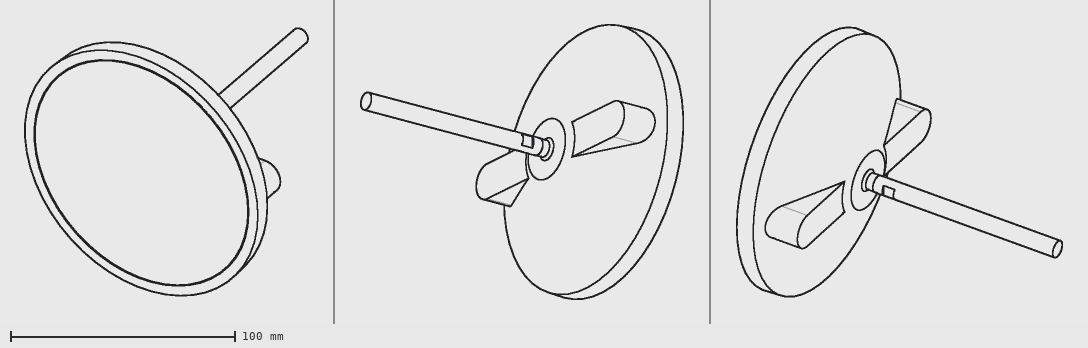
import cadquery as cq

total_length = 130.0

face_radius = 124.0 / 2
rim_back_radius = 61.6
rim_depth = 8.5
cone_top_radius = 14.0
dish_depth = 30.0

groove_outer_diameter = 114.0
groove_inner_diameter = 113.5
groove_depth = 0.6

bar_length = 111.5
bar_width = 16.8
bar_back = 28.1

rod_diameter = 8.0
neck_diameter = 7.8
flare_diameter = 10.4
flare_height = 1.3
neck_end = 35.1

flats_start = 40.2
flats_length = 5.8
width_across_flats = 6.0


def plane_at(y):
    """XZ sketch plane at the given y, extruding toward +Y."""
    return cq.Workplane(cq.Plane(origin=(0, y, 0), xDir=(1, 0, 0), normal=(0, 1, 0)))


def make_turned_body():
    """Dish and stem revolved about Y as one profile."""
    rod_radius = rod_diameter / 2
    neck_radius = neck_diameter / 2
    flare_radius = flare_diameter / 2
    flare_top = dish_depth + flare_height
    return (
        cq.Workplane("XY")
        .lineTo(face_radius, 0)
        .lineTo(rim_back_radius, rim_depth)
        .lineTo(cone_top_radius, dish_depth)
        .lineTo(flare_radius, dish_depth)
        .lineTo(neck_radius, flare_top)
        .lineTo(neck_radius, neck_end)
        .lineTo(rod_radius, neck_end)
        .lineTo(rod_radius, total_length)
        .lineTo(0, total_length)
        .close()
        .revolve(360, (0, 0, 0), (0, 1, 0))
    )


def make_bar():
    """Round-ended bar, starting inside the rim so that it merges with the dish."""
    bar_start = rim_depth / 2
    return plane_at(bar_start).slot2D(bar_length, bar_width).extrude(bar_back - bar_start)


def make_face_groove():
    return (
        plane_at(0)
        .circle(groove_outer_diameter / 2)
        .circle(groove_inner_diameter / 2)
        .extrude(groove_depth)
    )


def make_flat_cutter(side):
    """Block outside one wrench flat; side is -1 for -X and +1 for +X."""
    center_x = side * (width_across_flats + rod_diameter) / 2
    return (
        plane_at(flats_start)
        .center(center_x, 0)
        .rect(rod_diameter, 2 * rod_diameter)
        .extrude(flats_length)
    )


result = make_turned_body().union(make_bar()).cut(make_face_groove())
for side in (-1, 1):
    result = result.cut(make_flat_cutter(side))